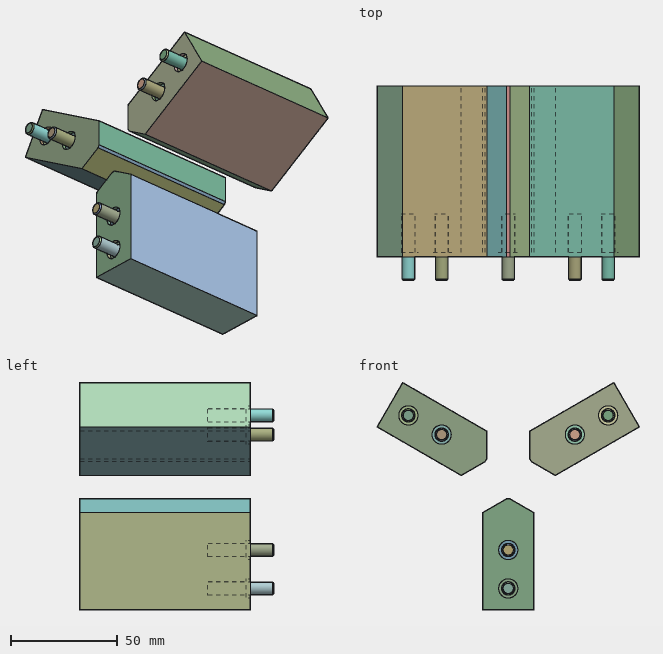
import cadquery as cq
import math


jaw_count = 3
jaw_width = 24.0
jaw_depth = 80.0
jaw_outer_radius = 64.0
jaw_tip_radius = 12.0
tip_slope = 30.0
tip_flat_width = 1.5
tip_height = (jaw_width - tip_flat_width) / 2 * math.tan(math.radians(tip_slope))

pin_diameter = 6.0
pin_protrusion = 11.0
pin_chamfer = 0.6
pin_radii = (36.0, 54.0)

counterbore_diameter = 9.0
counterbore_depth = 2.0
clearance_diameter = 6.3
seat_depth = 20.0


def cylinder_on_pin_axis(diameter, y_front, y_back, pin_radius):
    """Cylinder along Y, centred on the pin at the given distance below the axis."""
    return (
        cq.Workplane("XZ", origin=(0, y_front, 0))
        .center(0, -pin_radius)
        .circle(diameter / 2)
        .extrude(y_front - y_back)
    )


def make_jaw():
    half_width = jaw_width / 2
    half_flat = tip_flat_width / 2
    shoulder_z = -jaw_tip_radius - tip_height
    jaw = (
        cq.Workplane("XZ")
        .polyline([
            (-half_width, -jaw_outer_radius),
            (half_width, -jaw_outer_radius),
            (half_width, shoulder_z),
            (half_flat, -jaw_tip_radius),
            (-half_flat, -jaw_tip_radius),
            (-half_width, shoulder_z),
        ])
        .close()
        .extrude(-jaw_depth)
    )
    for pin_radius in pin_radii:
        jaw = jaw.cut(cylinder_on_pin_axis(counterbore_diameter, 0, counterbore_depth, pin_radius))
        jaw = jaw.cut(cylinder_on_pin_axis(clearance_diameter, 0, seat_depth, pin_radius))
    return jaw


def make_pin(pin_radius):
    pin = cylinder_on_pin_axis(pin_diameter, -pin_protrusion, seat_depth, pin_radius)
    return pin.faces("<Y").chamfer(pin_chamfer)


jaws = []
pins = []
for index in range(jaw_count):
    angle = index * 360 / jaw_count
    jaws.append(make_jaw().rotate((0, 0, 0), (0, 1, 0), angle).val())
    for pin_radius in pin_radii:
        pins.append(make_pin(pin_radius).rotate((0, 0, 0), (0, 1, 0), angle).val())

result = cq.Compound.makeCompound([*jaws, *pins])